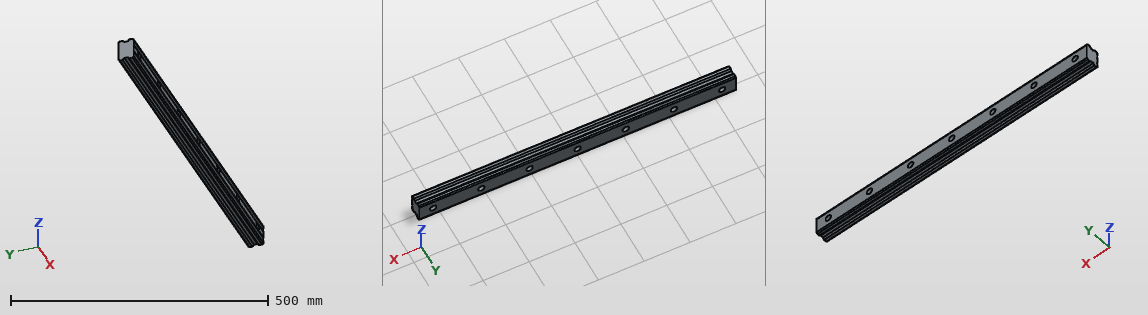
import cadquery as cq

length = 690.0
depth = 32.0
width = 45.0
corner_chamfer = 3.0

groove_floor_half = 3.5
groove_mouth_front = -7.0
groove_mouth_back = 7.5
groove_depth = 3.5

channel_inner = 7.0
channel_floor_inner = 7.5
channel_floor_outer = 14.0
channel_outer = 15.0
channel_depth = 0.3

hole_diameter = 14.0
hole_pitch = 105.0
hole_count = 7


def make_bar():
    bar = cq.Workplane("XY").box(length, depth, width)
    return bar.edges("|X").chamfer(corner_chamfer)


def extrude_profile(points):
    """Run a closed (Y, Z) outline along the full length of the rail."""
    return cq.Workplane("YZ").polyline(points).close().extrude(length / 2, both=True)


def make_running_groove(side):
    mouth_z = side * width / 2
    floor_z = side * (width / 2 - groove_depth)
    return extrude_profile([
        (groove_mouth_front, mouth_z),
        (-groove_floor_half, floor_z),
        (groove_floor_half, floor_z),
        (groove_mouth_back, mouth_z),
    ])


def make_channel(side):
    face_y = -depth / 2
    floor_y = face_y + channel_depth
    return extrude_profile([
        (face_y, side * channel_inner),
        (floor_y, side * channel_floor_inner),
        (floor_y, side * channel_floor_outer),
        (face_y, side * channel_outer),
    ])


def make_holes():
    return (
        cq.Workplane("XZ")
        .rarray(hole_pitch, 7, hole_count, 1)
        .circle(hole_diameter / 2)
        .extrude(depth, both=True)
    )


result = make_bar()
for side in (-1, 1):
    result = result.cut(make_running_groove(side))
    result = result.cut(make_channel(side))
result = result.cut(make_holes())